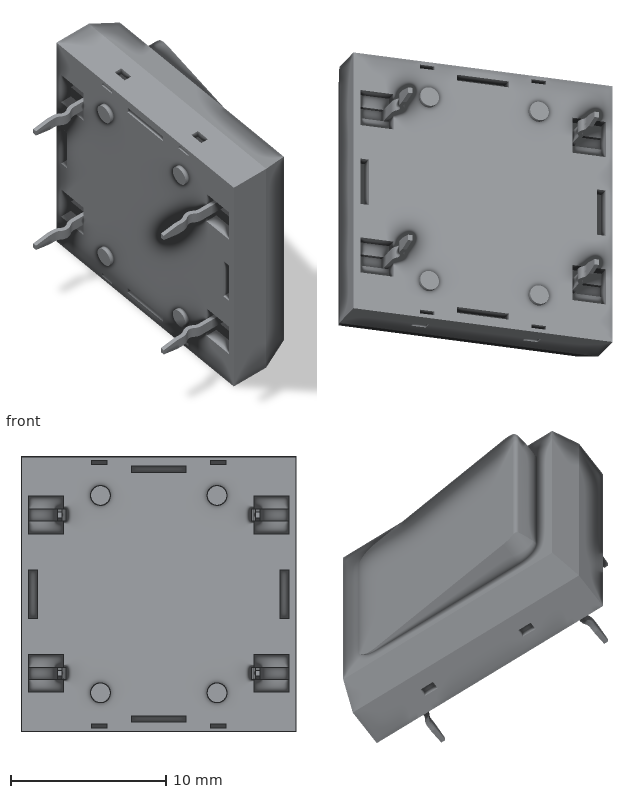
import cadquery as cq
import math


SIDE = 17.7
BASE_DEPTH = 2.73
COVER_DEPTH = 2.05
COVER_INSET = 0.67
FRONT_Y = BASE_DEPTH + COVER_DEPTH

STANDOFF_DIAMETER = 1.27
STANDOFF_HEIGHT = 0.3
STANDOFF_X = 3.75
STANDOFF_Z = 6.35

RECESS_DEPTH = 0.83
END_SLOT_LENGTH = 3.54
END_SLOT_WIDTH = 0.4
END_SLOT_Z = 8.04
SIDE_SLOT_LENGTH = 3.13
SIDE_SLOT_WIDTH = 0.57
SIDE_SLOT_X = 8.09
LATCH_WIDTH = 1.0
LATCH_X = 3.82
LATCH_SLOT_HEIGHT = 0.25
LATCH_SLOT_Z = 8.48
LATCH_WINDOW_HEIGHT = 0.55
LATCH_WINDOW_DEPTH = 0.5

TERMINAL_RECESS_INNER_X = 6.12
TERMINAL_RECESS_OUTER_X = 8.39
TERMINAL_RECESS_HEIGHT = 2.42
TERMINAL_Z = 5.1
TERMINAL_GROOVE_DEPTH = 0.32
TERMINAL_INNER_X = 6.23
TERMINAL_WIDTH = 0.78
TERMINAL_THICKNESS = 0.28
TERMINAL_LENGTH = 3.93
TIP_WIDTH = 0.37
TIP_TAPER_START = 2.8
KINK_CENTRE = 1.54
KINK_ANGLE = 37.0
KINK_BEND_RADIUS = 0.88
KINK_DENT_RADIUS = 0.45

ROCKER_RADIUS = 7.0
ROCKER_PIVOT_Y = 4.46
ROCKER_CORNER_RADIUS = 1.38
ROCKER_TILT = 8.0
ROCKER_NOSE_RADIUS = 0.27


def block(x_range, y_range, z_range):
    """Box between the given limits."""
    size = [high - low for low, high in (x_range, y_range, z_range)]
    return cq.Workplane("XY").box(*size, centered=False).translate((x_range[0], y_range[0], z_range[0]))


def recess(x, z, width, height, depth=RECESS_DEPTH):
    """Cutter for a rectangular recess in the mounting face."""
    half_width = width / 2
    half_height = height / 2
    return block((x - half_width, x + half_width), (0, depth), (z - half_height, z + half_height))


def kink_points(face_x, bend_radius, dent_radius):
    """Points of the first half of a kinked terminal face, from the straight leg to the peak."""
    angle = math.radians(KINK_ANGLE)
    reach = bend_radius + dent_radius
    start_y = -KINK_CENTRE + reach * math.sin(angle)

    def bend_point(turn):
        return (face_x - bend_radius * (1 - math.cos(turn)), start_y - bend_radius * math.sin(turn))

    def dent_point(turn):
        peak_x = face_x - reach * (1 - math.cos(angle))
        return (peak_x + dent_radius * (1 - math.cos(turn)), -KINK_CENTRE + dent_radius * math.sin(turn))

    return [bend_point(0), bend_point(angle / 2), bend_point(angle), dent_point(0)]


def mirrored_about_kink(point):
    """The same point on the other side of the kink's peak."""
    x, y = point
    return (x, -2 * KINK_CENTRE - y)


def terminal():
    """Kinked terminal with a tapered tip, on the +X side and centred on Z = 0."""
    root_y = RECESS_DEPTH + TERMINAL_GROOVE_DEPTH
    half_width = TERMINAL_WIDTH / 2
    outer_x = TERMINAL_INNER_X + TERMINAL_THICKNESS
    outer_start, outer_bend, outer_turn, outer_peak = kink_points(outer_x, KINK_BEND_RADIUS, KINK_DENT_RADIUS)
    inner_start, inner_bend, inner_turn, inner_peak = kink_points(
        TERMINAL_INNER_X, KINK_BEND_RADIUS - TERMINAL_THICKNESS, KINK_DENT_RADIUS + TERMINAL_THICKNESS
    )
    leg = (
        cq.Workplane("XY", origin=(0, 0, -half_width))
        .moveTo(outer_x, root_y)
        .lineTo(*outer_start)
        .threePointArc(outer_bend, outer_turn)
        .threePointArc(outer_peak, mirrored_about_kink(outer_turn))
        .threePointArc(mirrored_about_kink(outer_bend), mirrored_about_kink(outer_start))
        .lineTo(outer_x, -TERMINAL_LENGTH)
        .lineTo(TERMINAL_INNER_X, -TERMINAL_LENGTH)
        .lineTo(*mirrored_about_kink(inner_start))
        .threePointArc(mirrored_about_kink(inner_bend), mirrored_about_kink(inner_turn))
        .threePointArc(inner_peak, inner_turn)
        .threePointArc(inner_bend, inner_start)
        .lineTo(TERMINAL_INNER_X, root_y)
        .close()
        .extrude(TERMINAL_WIDTH)
    )
    tapered_outline = (
        cq.Workplane("YZ")
        .polyline(
            [
                (root_y, -half_width),
                (root_y, half_width),
                (-TIP_TAPER_START, half_width),
                (-TERMINAL_LENGTH, TIP_WIDTH / 2),
                (-TERMINAL_LENGTH, -TIP_WIDTH / 2),
                (-TIP_TAPER_START, -half_width),
            ]
        )
        .close()
        .extrude(SIDE / 2)
    )
    return leg.intersect(tapered_outline)


def make_base():
    """Square base with its slots, latch windows, standoffs and terminals."""
    half = SIDE / 2
    base = block((-half, half), (0, BASE_DEPTH), (-half, half))
    recess_width = TERMINAL_RECESS_OUTER_X - TERMINAL_RECESS_INNER_X
    recess_x = (TERMINAL_RECESS_OUTER_X + TERMINAL_RECESS_INNER_X) / 2
    window = cq.Workplane("XY").box(LATCH_WIDTH, LATCH_WINDOW_HEIGHT, 2 * LATCH_WINDOW_DEPTH)
    standoff = cq.Workplane("XZ").circle(STANDOFF_DIAMETER / 2).extrude(STANDOFF_HEIGHT)
    groove_floor = RECESS_DEPTH + TERMINAL_GROOVE_DEPTH
    right_terminal = terminal()
    left_terminal = right_terminal.mirror("YZ")

    for side in (-1, 1):
        base = base.cut(recess(0, side * END_SLOT_Z, END_SLOT_LENGTH, END_SLOT_WIDTH))
        base = base.cut(recess(side * SIDE_SLOT_X, 0, SIDE_SLOT_WIDTH, SIDE_SLOT_LENGTH))

    for x_side, side_terminal in ((-1, left_terminal), (1, right_terminal)):
        for z_side in (-1, 1):
            latch_x = x_side * LATCH_X
            terminal_z = z_side * TERMINAL_Z
            base = base.cut(recess(latch_x, z_side * LATCH_SLOT_Z, LATCH_WIDTH, LATCH_SLOT_HEIGHT))
            base = base.cut(window.translate((latch_x, BASE_DEPTH / 2, z_side * half)))
            base = base.cut(recess(x_side * recess_x, terminal_z, recess_width, TERMINAL_RECESS_HEIGHT))
            base = base.cut(recess(x_side * recess_x, terminal_z, recess_width, TERMINAL_WIDTH, groove_floor))
            base = base.union(standoff.translate((x_side * STANDOFF_X, 0, z_side * STANDOFF_Z)))
            base = base.union(side_terminal.translate((0, 0, terminal_z)))
    return base


def rocker_footprint():
    """Rounded square prism spanning from the base beyond the top of the rocker."""
    width = 2 * ROCKER_RADIUS
    return (
        cq.Workplane("XZ", origin=(0, BASE_DEPTH, 0))
        .rect(width, width)
        .extrude(-width)
        .edges("|Y")
        .fillet(ROCKER_CORNER_RADIUS)
    )


def make_cover():
    """Cover that tapers on all four sides, with an opening for the rocker."""
    face_side = SIDE - 2 * COVER_INSET
    cover = (
        cq.Workplane("XZ", origin=(0, BASE_DEPTH, 0))
        .rect(SIDE, SIDE)
        .workplane(offset=-COVER_DEPTH)
        .rect(face_side, face_side)
        .loft(ruled=True)
    )
    return cover.cut(rocker_footprint())


def make_rocker():
    """Tilted rocker whose raised end follows an arc about the pivot."""
    tilt = math.radians(ROCKER_TILT)
    face_y = FRONT_Y + ROCKER_RADIUS * math.tan(tilt)
    face_distance = (face_y - ROCKER_PIVOT_Y) * math.cos(tilt)
    nose_angle = math.pi / 2 - tilt + math.acos(face_distance / ROCKER_RADIUS)
    arc_middle_angle = (nose_angle + math.pi) / 2

    def arc_point(angle):
        return (ROCKER_RADIUS * math.cos(angle), ROCKER_PIVOT_Y + ROCKER_RADIUS * math.sin(angle))

    nose = arc_point(nose_angle)
    profile = (
        cq.Workplane("XY", origin=(0, 0, -ROCKER_RADIUS))
        .moveTo(-ROCKER_RADIUS, BASE_DEPTH)
        .lineTo(-ROCKER_RADIUS, ROCKER_PIVOT_Y)
        .threePointArc(arc_point(arc_middle_angle), nose)
        .lineTo(ROCKER_RADIUS, FRONT_Y)
        .lineTo(ROCKER_RADIUS, BASE_DEPTH)
        .close()
        .extrude(2 * ROCKER_RADIUS)
    )
    profile = profile.edges(cq.selectors.NearestToPointSelector((*nose, 0))).fillet(ROCKER_NOSE_RADIUS)
    return profile.intersect(rocker_footprint())


base = make_base()
cover = make_cover()
rocker = make_rocker()

bodies = [body.solids().val() for body in (base, cover, rocker)]
result = cq.Compound.makeCompound(bodies)